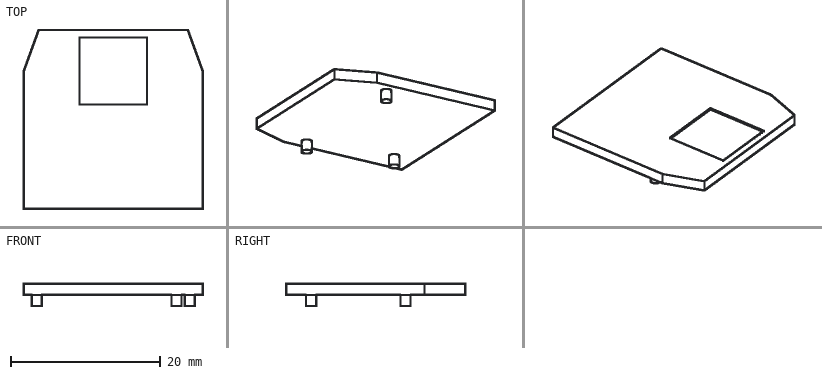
import cadquery as cq

side = 24.0
total_height = 3.0
plate_thickness = total_height / 2
pin_length = total_height - plate_thickness

corner_run_x = 2.0
corner_run_y = 5.5

recess_side = 9.0
recess_edge_gap = 1.0
recess_depth = 0.2

pin_diameter = 1.4
outer_pin_x = 10.25
inner_pin_x = 8.47
rear_pin_y = 3.98
front_pin_y = -8.66
pin_centres = [
    (-outer_pin_x, rear_pin_y),
    (outer_pin_x, rear_pin_y),
    (inner_pin_x, front_pin_y),
]

half = side / 2


def make_plate():
    outline = [
        (-half, -half),
        (half, -half),
        (half, half - corner_run_y),
        (half - corner_run_x, half),
        (-half + corner_run_x, half),
        (-half, half - corner_run_y),
    ]
    return cq.Workplane("XY").polyline(outline).close().extrude(plate_thickness)


def make_recess():
    centre_y = half - recess_edge_gap - recess_side / 2
    return (
        cq.Workplane("XY", origin=(0, centre_y, plate_thickness - recess_depth))
        .rect(recess_side, recess_side)
        .extrude(recess_depth)
    )


def make_pins():
    return (
        cq.Workplane("XY")
        .pushPoints(pin_centres)
        .circle(pin_diameter / 2)
        .extrude(-pin_length)
    )


result = make_plate().cut(make_recess()).union(make_pins())